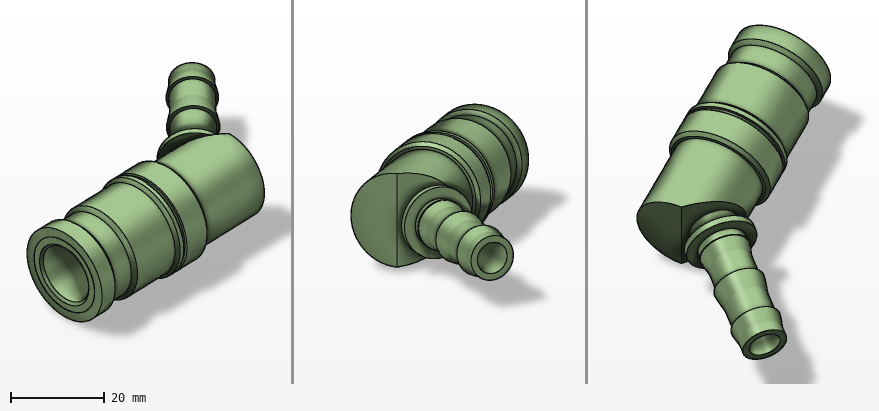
import cadquery as cq

BODY_RADIUS = 11.2
BODY_LENGTH = 51.0
MOUTH_LIP_RADIUS = 9.0
MOUTH_LIP_HEIGHT = 0.1
NECK_RADIUS = 10.25
NECK_START = 5.1
NECK_END = 10.1
NECK_BEVEL = BODY_RADIUS - NECK_RADIUS
COLLAR_RADIUS = 12.0
COLLAR_START = 22.6
COLLAR_END = 32.5
COLLAR_BEVEL = COLLAR_RADIUS - BODY_RADIUS
GROOVE_CENTER = 25.0
GROOVE_HALF_WIDTH = 0.5
GROOVE_EDGE_RADIUS = 11.4
GROOVE_VALLEY_RADIUS = 11.2
SHANK_RADIUS = 10.5

ELBOW_ANGLE = 45.0
ELBOW_Y = 40.5
SEAT_DISTANCE = 7.5
NOZZLE_LENGTH = 33.0
NOZZLE_TIP = SEAT_DISTANCE + NOZZLE_LENGTH
NOZZLE_ROOT_OVERLAP = 1.0
STEM_RADIUS = 5.0
ROOT_RADIUS = 5.45
FLANGE_RADIUS = 8.0
FLANGE_START = SEAT_DISTANCE + 3.7
FLANGE_THICKNESS = 1.5
BARBS = [
    (5.9, 3.5, 5.65),
    (16.5, 4.6, 5.75),
    (26.0, 3.7, 5.65),
]
BARB_BULGE = 0.08
ROOT_END = NOZZLE_TIP - BARBS[-1][0]

SOCKET_RADIUS = 6.75
SOCKET_BEVEL = 0.6
SOCKET_DEPTH = 25.0
PASSAGE_RADIUS = 4.0
PASSAGE_END = 46.85
NOZZLE_BORE_RADIUS = 3.5


def revolve_about_y(profile):
    """Turn a closed (radius, Y) profile fully around the Y axis."""
    return profile.close().revolve(360, (0, 0, 0), (0, 1, 0))


def to_elbow(solid):
    """Move a solid built along Y from the origin onto the nozzle axis."""
    return solid.rotate((0, 0, 0), (0, 0, 1), ELBOW_ANGLE).translate((0, ELBOW_Y, 0))


def make_body():
    """Stepped plug with a locking neck, a bevelled and grooved collar and a plain shank."""
    groove_start = GROOVE_CENTER - GROOVE_HALF_WIDTH
    groove_end = GROOVE_CENTER + GROOVE_HALF_WIDTH
    profile = cq.Workplane("XY").polyline([
        (0, 0),
        (MOUTH_LIP_RADIUS, 0),
        (MOUTH_LIP_RADIUS, MOUTH_LIP_HEIGHT),
        (BODY_RADIUS, MOUTH_LIP_HEIGHT),
        (BODY_RADIUS, NECK_START - NECK_BEVEL),
        (NECK_RADIUS, NECK_START),
        (NECK_RADIUS, NECK_END),
        (BODY_RADIUS, NECK_END + NECK_BEVEL),
        (BODY_RADIUS, COLLAR_START),
        (COLLAR_RADIUS, COLLAR_START + COLLAR_BEVEL),
        (COLLAR_RADIUS, groove_start),
        (GROOVE_EDGE_RADIUS, groove_start),
        (GROOVE_VALLEY_RADIUS, GROOVE_CENTER),
        (GROOVE_EDGE_RADIUS, groove_end),
        (COLLAR_RADIUS, groove_end),
        (COLLAR_RADIUS, COLLAR_END - COLLAR_BEVEL),
        (COLLAR_RADIUS - COLLAR_BEVEL, COLLAR_END),
        (SHANK_RADIUS, COLLAR_END),
        (SHANK_RADIUS, BODY_LENGTH),
        (0, BODY_LENGTH),
    ])
    return revolve_about_y(profile)


def cut_nozzle_seat(body):
    """Slice the shank's corner off square to the nozzle axis."""
    size = 2 * BODY_LENGTH
    corner = cq.Workplane("XY").box(size, size, size).translate((0, SEAT_DISTANCE + size / 2, 0))
    return body.cut(to_elbow(corner))


def make_nozzle():
    """Barbed hose nozzle with a stop flange, drawn from the tip back to the seat."""
    root = SEAT_DISTANCE - NOZZLE_ROOT_OVERLAP
    profile = cq.Workplane("XY").moveTo(0, root).lineTo(0, NOZZLE_TIP).lineTo(STEM_RADIUS, NOZZLE_TIP)
    for edge_from_tip, length, edge_radius in BARBS:
        edge = NOZZLE_TIP - edge_from_tip
        middle_radius = (STEM_RADIUS + edge_radius) / 2 + BARB_BULGE
        profile = profile.lineTo(STEM_RADIUS, edge + length)
        profile = profile.threePointArc((middle_radius, edge + length / 2), (edge_radius, edge))
        if edge > ROOT_END:
            profile = profile.lineTo(STEM_RADIUS, edge)
    flange_end = FLANGE_START + FLANGE_THICKNESS
    profile = (
        profile.lineTo(ROOT_RADIUS, ROOT_END)
        .lineTo(ROOT_RADIUS, flange_end)
        .lineTo(FLANGE_RADIUS, flange_end)
        .lineTo(FLANGE_RADIUS, FLANGE_START)
        .lineTo(ROOT_RADIUS, FLANGE_START)
        .lineTo(ROOT_RADIUS, root)
    )
    return to_elbow(revolve_about_y(profile))


def make_body_bore():
    """Bevelled socket at the mouth, narrowing to a blind passage."""
    profile = cq.Workplane("XY").polyline([
        (0, 0),
        (SOCKET_RADIUS + SOCKET_BEVEL, 0),
        (SOCKET_RADIUS, SOCKET_BEVEL),
        (SOCKET_RADIUS, SOCKET_DEPTH),
        (PASSAGE_RADIUS, SOCKET_DEPTH),
        (PASSAGE_RADIUS, PASSAGE_END),
        (0, PASSAGE_END),
    ])
    return revolve_about_y(profile)


def make_nozzle_bore():
    """Straight bore from the nozzle tip to the elbow, where it meets the passage."""
    bore = cq.Workplane("XZ").circle(NOZZLE_BORE_RADIUS).extrude(-NOZZLE_TIP)
    return to_elbow(bore)


result = cut_nozzle_seat(make_body()).union(make_nozzle())
result = result.cut(make_body_bore()).cut(make_nozzle_bore())